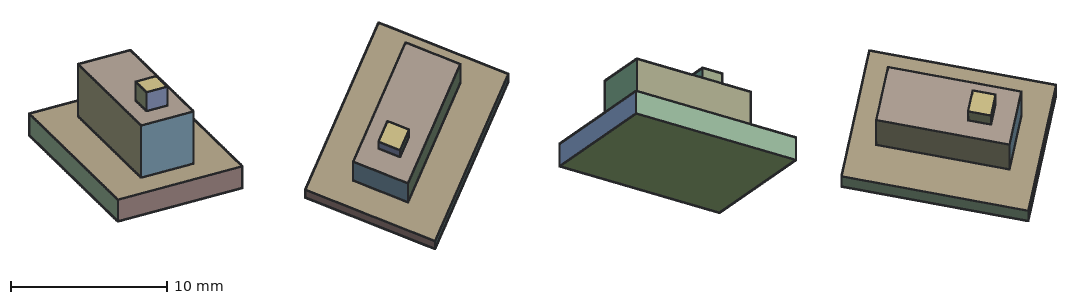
import cadquery as cq

base_length = 12.2
base_width = 9.0
base_height = 1.62

body_length = 8.7
body_width = 3.8
body_height = 3.88

knob_side = 1.5
knob_height = 1.4
knob_offset = 2.16


def block(length, width, height, bottom, center_x=0):
    """Upright block centred on Y = 0, standing at the height 'bottom'."""
    return (
        cq.Workplane("XY", origin=(center_x, 0, bottom))
        .box(length, width, height, centered=(True, True, False))
    )


body_top = base_height + body_height

base = block(base_length, base_width, base_height, 0)
body = block(body_length, body_width, body_height, base_height)
knob = block(knob_side, knob_side, knob_height, body_top, knob_offset)

result = base.union(body).union(knob)